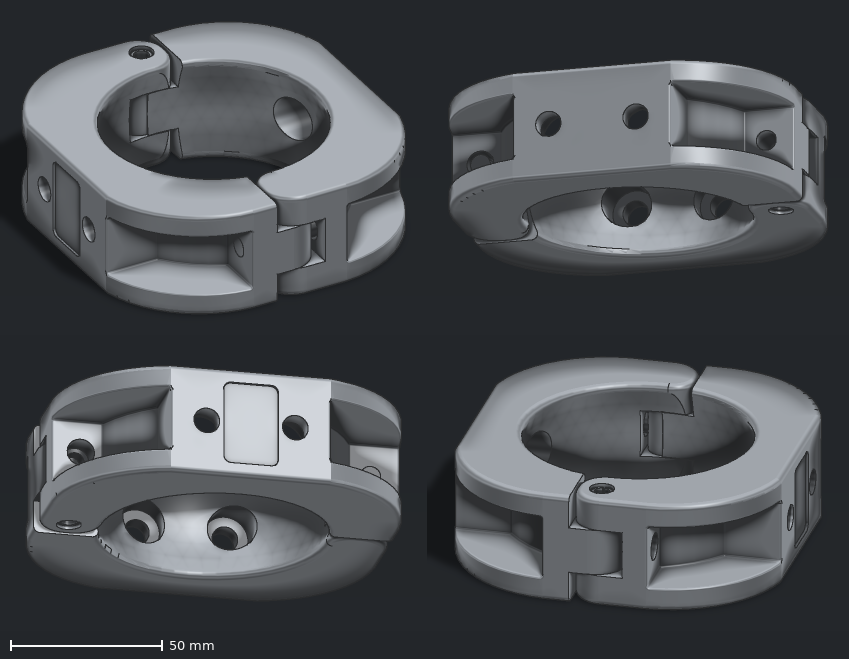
import cadquery as cq
import math

width = 118.04
depth = 111.31
height = 38.03
flat_half_length = 27.1
side_half_length = 17.6
corner_radius = 41.3
rim_fillet = 2.0
half_width = width / 2
half_depth = depth / 2
half_height = height / 2
tall = 2 * height
wide = 2 * width

bore_radius = 41.5
bore_offset_y = 0.5

pocket_half_height = 11.0
pocket_wall_x = flat_half_length
pocket_wall_y = 17.9
pocket_core_radius = 45.3
pocket_mouth_radius = 58.0
pocket_inner_fillet = 1.0
pocket_mouth_fillet = 0.8

knuckle_x = 49.1
split_y = 8.8
knuckle_end_y = 8.5
slot_floor_y = 9.4
slot_half_height = 8.2
tongue_half_height = 8.0
front_lug_rounds = (10.0, 9.0)
rear_lug_rounds = (11.0, 8.0)
tongue_rounds = (11.0, 6.4)

bolt_x = 15.0
bolt_diameter = 8.6
bolt_head_diameter = 15.5
bolt_head_seat_y = 49.0
clearance_diameter = 9.2
screw_diameter = 6.8
plate_width = 18.5
plate_height = 28.5
plate_corner = 2.5
plate_depth = 1.0

pin_diameter = 8.2
pin_bore_diameter = 5.2
pin_slot_width = 1.0
pin_chamfer = 0.5
pin_length = 36.0

rim_centre_z = half_height - rim_fillet
rim_centre_r = math.sqrt((bore_radius + rim_fillet) ** 2 - rim_centre_z ** 2)
rim_contact_scale = bore_radius / (bore_radius + rim_fillet)
rim_contact = (rim_centre_r * rim_contact_scale, rim_centre_z * rim_contact_scale)
bore_throat_radius = rim_centre_r - rim_fillet


def span_box(x_range, y_range, z_range):
    """Box between the given limits."""
    size = [high - low for low, high in (x_range, y_range, z_range)]
    corner = (x_range[0], y_range[0], z_range[0])
    return cq.Workplane("XY").box(*size, centered=False).translate(corner)


def y_cylinder(x, diameter, y_start, y_end):
    """Cylinder along Y at height zero."""
    return (
        cq.Workplane("XZ", origin=(x, y_start, 0))
        .circle(diameter / 2)
        .extrude(y_start - y_end)
    )


def outer_block():
    """Solid block with flats on four sides and a large round at each corner."""
    run_x = half_width - flat_half_length
    run_y = half_depth - side_half_length
    chord = math.hypot(run_x, run_y)
    sagitta = corner_radius - math.sqrt(corner_radius ** 2 - (chord / 2) ** 2)
    mid_x = (half_width + flat_half_length) / 2 + sagitta * run_y / chord
    mid_y = (half_depth + side_half_length) / 2 + sagitta * run_x / chord
    outline = (
        cq.Workplane("XY", origin=(0, 0, -half_height))
        .moveTo(half_width, -side_half_length)
        .lineTo(half_width, side_half_length)
        .threePointArc((mid_x, mid_y), (flat_half_length, half_depth))
        .lineTo(-flat_half_length, half_depth)
        .threePointArc((-mid_x, mid_y), (-half_width, side_half_length))
        .lineTo(-half_width, -side_half_length)
        .threePointArc((-mid_x, -mid_y), (-flat_half_length, -half_depth))
        .lineTo(flat_half_length, -half_depth)
        .threePointArc((mid_x, -mid_y), (half_width, -side_half_length))
        .close()
    )
    return outline.extrude(height).faces("|Z").edges().fillet(rim_fillet)


def corner_pocket(sign_y):
    """Tool for the -X pocket on the given Y side, bounded by two flat walls and the round core."""
    x_limits = (-width, -pocket_wall_x)
    y_limits = sorted((sign_y * pocket_wall_y, sign_y * depth))
    z_limits = (-pocket_half_height, pocket_half_height)
    core = cq.Workplane("XY").circle(pocket_core_radius).extrude(tall, both=True)
    tool = span_box(x_limits, y_limits, z_limits).cut(core)
    return tool.edges().fillet(pocket_inner_fillet)


def bore_tool():
    """Sphere with a rounded flare at both rims."""
    contact_r, contact_z = rim_contact
    contact_angle = math.pi + math.atan2(rim_centre_z, rim_centre_r)
    flare_angle = (contact_angle + math.pi / 2) / 2
    flare_mid = (
        rim_centre_r + rim_fillet * math.cos(flare_angle),
        rim_centre_z + rim_fillet * math.sin(flare_angle),
    )
    return (
        cq.Workplane("XZ")
        .moveTo(0, -half_height)
        .lineTo(rim_centre_r, -half_height)
        .threePointArc((flare_mid[0], -flare_mid[1]), (contact_r, -contact_z))
        .threePointArc((bore_radius, 0), (contact_r, contact_z))
        .threePointArc(flare_mid, (rim_centre_r, half_height))
        .lineTo(0, half_height)
        .close()
        .revolve(360, (0, 0, 0), (0, 1, 0))
    )


def pocket_mouth_edges(block, sign_y):
    """Edges where the -X pocket on the given Y side breaks out of the outer surface."""

    def on_mouth(edge):
        centre = edge.Center()
        in_corner = centre.x < 0 and sign_y * centre.y > 0
        in_band = abs(centre.z) <= pocket_half_height
        return in_corner and in_band and math.hypot(centre.x, centre.y) > pocket_mouth_radius

    return block.edges().filter(on_mouth)


def ring_blank():
    """Block with its corner pockets, symmetric about the YZ plane, before bore and split."""
    block = outer_block()
    for sign_y in (-1, 1):
        block = block.cut(corner_pocket(sign_y))
        block = pocket_mouth_edges(block, sign_y).fillet(pocket_mouth_fillet)
    left_side = block.intersect(span_box((-wide, 0), (-depth, depth), (-tall, tall)))
    return left_side.union(left_side.mirror("YZ"))


def knuckle_rounding(sign_x, inner_radius, rounds):
    """Material to remove so that a knuckle ends in two rounds with a soft rim."""
    outer_round, inner_round = rounds
    outer_x = sign_x * half_width
    inner_x = sign_x * inner_radius
    x_limits = sorted((outer_x, inner_x))
    envelope = span_box(x_limits, (-depth, knuckle_end_y), (-half_height, half_height))
    outer_edge = ">X" if sign_x > 0 else "<X"
    envelope = envelope.edges("|Z").edges(">Y").edges(outer_edge).fillet(outer_round)
    envelope = envelope.edges("|Z").edges(">Y").fillet(inner_round)
    envelope = envelope.faces("|Z").edges().fillet(rim_fillet)

    middle_x = outer_x - sign_x * outer_round

    def end_zone(x_limit, corner_round):
        y_limits = (knuckle_end_y - corner_round, depth)
        return span_box(sorted((middle_x, x_limit)), y_limits, (-tall, tall))

    outer_part = end_zone(sign_x * width, outer_round)
    inner_part = end_zone(0, inner_round)
    return outer_part.union(inner_part).cut(envelope)


def ring_half(blank, lug_rounds):
    """Half on the -Y side: lugs at -X, tongue at +X."""
    tongue_z = (-tongue_half_height, tongue_half_height)
    slot_z = (-slot_half_height, slot_half_height)
    keep = span_box((-wide, wide), (-depth, -split_y), (-tall, tall))
    keep = keep.union(span_box((-wide, 0), (-depth, knuckle_end_y), (-tall, tall)))
    keep = keep.union(span_box((0, wide), (-depth, knuckle_end_y), tongue_z))
    half = blank.intersect(keep).cut(bore_tool().translate((0, -bore_offset_y, 0)))
    half = half.cut(span_box((-wide, 0), (-slot_floor_y, depth), slot_z))
    half = half.cut(knuckle_rounding(-1, bore_throat_radius, lug_rounds))
    half = half.cut(knuckle_rounding(1, bore_radius, tongue_rounds))
    for sign_x in (-1, 1):
        half = half.cut(y_cylinder(sign_x * bolt_x, bolt_diameter, -depth, 0))
        half = half.cut(y_cylinder(sign_x * bolt_x, bolt_head_diameter, -bolt_head_seat_y, 0))
    half = half.cut(y_cylinder(-knuckle_x, clearance_diameter, -depth, 0))
    return half.cut(y_cylinder(knuckle_x, screw_diameter, -depth, depth))


def hinge_hole(diameter):
    """Cylinder along the hinge axis, longer than the ring is high."""
    return (
        cq.Workplane("XY")
        .center(-knuckle_x, 0)
        .circle(diameter / 2)
        .extrude(tall, both=True)
    )


def nameplate_recess():
    """Shallow rounded recess in the middle of the -Y flat."""
    return (
        cq.Workplane("XZ", origin=(0, -half_depth + plate_depth, 0))
        .rect(plate_width, plate_height)
        .extrude(2 * plate_depth)
        .edges("|Y")
        .fillet(plate_corner)
    )


def spring_pin():
    """Slotted tubular hinge pin with chamfered ends."""
    pin = (
        cq.Workplane("XY", origin=(-knuckle_x, 0, -pin_length / 2))
        .circle(pin_diameter / 2)
        .extrude(pin_length)
        .faces("|Z")
        .edges()
        .chamfer(pin_chamfer)
        .cut(hinge_hole(pin_bore_diameter))
    )
    slot_y = (-pin_slot_width / 2, pin_slot_width / 2)
    slot = span_box((-knuckle_x, 0), slot_y, (-tall, tall))
    return pin.cut(slot)


blank = ring_blank()
front_half = ring_half(blank, front_lug_rounds)
front_half = front_half.cut(hinge_hole(pin_diameter)).cut(nameplate_recess())
rear_half = ring_half(blank, rear_lug_rounds)
rear_half = rear_half.rotate((0, 0, 0), (0, 0, 1), 180).cut(hinge_hole(pin_diameter))
hinge_pin = spring_pin()
clamp_screw = y_cylinder(knuckle_x, screw_diameter, -pocket_wall_y, pocket_wall_y)

result = cq.Compound.makeCompound(
    [front_half.val(), rear_half.val(), hinge_pin.val(), clamp_screw.val()]
)